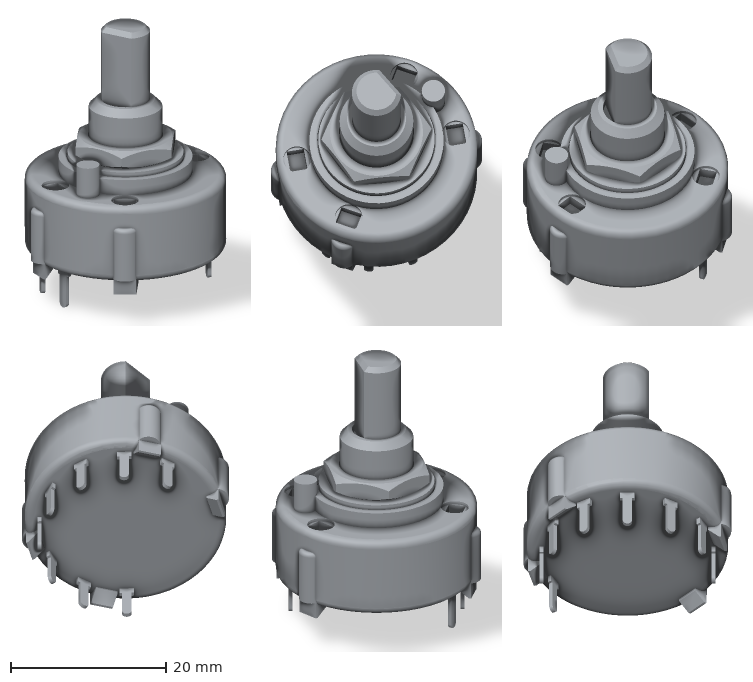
import cadquery as cq
import math


overall_height = 35.9

body_diameter = 26.0
body_height = 10.4
body_edge_radius = 1.0

collar_diameter = 17.3
collar_top = 12.5
washer_diameter = 15.0
washer_recess_diameter = 15.3
washer_recess_depth = 0.5
washer_top = 13.1
bushing_diameter = 9.5
bushing_top = 20.45
bushing_chamfer = 0.95
shaft_diameter = 6.35
shaft_top = 30.5
shaft_chamfer = 0.6
bore_depth = 1.0
shaft_flat_bottom = bushing_top - bore_depth
shaft_flat_offset = 2.3

nut_corner_diameter = 14.3
nut_face_diameter = 12.0
nut_bore_diameter = 9.7
nut_thickness = 2.4
nut_turn = -3.7
nut_chamfer_angle = 30.0

post_diameter = 3.0
post_radius = 9.55
post_top = 14.5

latch_angle = 60.0

recess_diameter = 3.55
recess_orbit = 10.4
recess_depth = 0.4
pocket_radial = 2.25
pocket_tangential = 2.8
pocket_depth = 1.75

rib_radius = 1.65
rib_orbit = 12.15
rib_top = 7.55
rib_bottom = 0.45
rib_edge_radius = 0.55
hook_face_orbit = 12.9
hook_width = 2.9
hook_bottom = -1.7
hook_tip_bottom = -0.4
hook_root_reach = 0.3
hook_tip_reach = 1.7
hook_side_skew = 11.0

pin_orbit = 11.08
pin_first_angle = 45
pin_last_angle = 255
pin_step = 30
pin_thickness = 0.5
pin_width = 1.2
pin_shoulder_width = 1.9
pin_shoulder_bottom = -0.95
pin_bottom = shaft_top - overall_height

overlap = 0.5


def cylinder(diameter, bottom, top):
    return cq.Workplane("XY").workplane(offset=bottom).circle(diameter / 2).extrude(top - bottom)


def polar_frame(orbit, angle, height):
    """Frame at a point of a circle: x points outward, y along the tangent, z up."""
    turn = math.radians(angle)
    origin = (orbit * math.cos(turn), orbit * math.sin(turn), height)
    outward = (math.cos(turn), math.sin(turn), 0)
    return cq.Workplane(cq.Plane(origin=origin, xDir=outward, normal=(0, 0, 1)))


def on_four_corners(shape):
    """The shape with its mirror images about the YZ and XZ planes."""
    pair = shape.union(shape.mirror("YZ"))
    return pair.union(pair.mirror("XZ"))


def make_body():
    return cylinder(body_diameter, 0, body_height).edges().fillet(body_edge_radius)


def make_collar():
    """Collar with a shallow recess in its top, in which the washer lies."""
    collar = cylinder(collar_diameter, body_height - overlap, collar_top)
    recess_bottom = collar_top - washer_recess_depth
    recess = cylinder(washer_recess_diameter, recess_bottom, collar_top)
    washer = cylinder(washer_diameter, recess_bottom, washer_top)
    return collar.cut(recess).union(washer)


def make_bushing():
    bushing = cylinder(bushing_diameter, collar_top - washer_recess_depth, bushing_top)
    bore = cylinder(shaft_diameter, shaft_flat_bottom, bushing_top)
    return bushing.faces(">Z").chamfer(bushing_chamfer).cut(bore)


def make_shaft():
    shaft = cylinder(shaft_diameter, shaft_flat_bottom, shaft_top)
    beyond_flat = (
        cq.Workplane("XY")
        .workplane(offset=shaft_flat_bottom)
        .center(0, -shaft_flat_offset - shaft_diameter / 2)
        .rect(2 * shaft_diameter, shaft_diameter)
        .extrude(shaft_top - shaft_flat_bottom)
    )
    return shaft.cut(beyond_flat).faces(">Z").chamfer(shaft_chamfer)


def make_nut():
    nut_top = washer_top + nut_thickness
    corner_radius = nut_corner_diameter / 2
    face_radius = nut_face_diameter / 2
    chamfer_drop = (corner_radius - face_radius) * math.tan(math.radians(nut_chamfer_angle))
    hexagon = (
        cq.Workplane("XY")
        .workplane(offset=washer_top)
        .polygon(6, nut_corner_diameter)
        .extrude(nut_thickness)
        .rotate((0, 0, 0), (0, 0, 1), nut_turn)
    )
    turned_blank = (
        cq.Workplane("XZ")
        .moveTo(0, washer_top)
        .lineTo(face_radius, washer_top)
        .lineTo(corner_radius, washer_top + chamfer_drop)
        .lineTo(corner_radius, nut_top - chamfer_drop)
        .lineTo(face_radius, nut_top)
        .lineTo(0, nut_top)
        .close()
        .revolve(360, (0, 0, 0), (0, 1, 0))
    )
    return hexagon.intersect(turned_blank).cut(cylinder(nut_bore_diameter, washer_top, nut_top))


def make_post():
    return cylinder(post_diameter, body_height - overlap, post_top).translate((0, -post_radius, 0))


def make_recess():
    """Cutter for a round recess; the pocket under it stays within the circle."""
    top = polar_frame(recess_orbit, latch_angle, body_height)
    recess = top.circle(recess_diameter / 2).extrude(-recess_depth)
    outline = top.circle(recess_diameter / 2).extrude(-pocket_depth)
    pocket = top.rect(pocket_radial, pocket_tangential).extrude(-pocket_depth)
    return recess.union(pocket.intersect(outline))


def make_rib():
    rib = polar_frame(rib_orbit, latch_angle, rib_bottom).circle(rib_radius).extrude(rib_top - rib_bottom)
    return rib.faces(">Z").edges().fillet(rib_edge_radius)


def make_hook():
    """Snap hook with its barb pointing to the axis."""
    frame = polar_frame(hook_face_orbit, latch_angle, hook_bottom)
    half_width = hook_width / 2
    skew_shift = hook_tip_reach * math.tan(math.radians(hook_side_skew))
    plan = [
        (0, -half_width),
        (0, half_width),
        (-hook_tip_reach, half_width - skew_shift),
        (-hook_tip_reach, -half_width - skew_shift),
    ]
    block = frame.polyline(plan).close().extrude(rib_bottom - hook_bottom)
    turn = math.radians(latch_angle)
    radial_plane = cq.Plane(
        origin=(0, 0, 0),
        xDir=(math.cos(turn), math.sin(turn), 0),
        normal=(math.sin(turn), -math.cos(turn), 0),
    )
    lead_in = (
        cq.Workplane(radial_plane)
        .moveTo(hook_face_orbit - hook_root_reach, hook_bottom)
        .lineTo(hook_face_orbit - hook_tip_reach, hook_tip_bottom)
        .lineTo(hook_face_orbit - hook_tip_reach, hook_bottom)
        .close()
        .extrude(hook_width, both=True)
    )
    return block.cut(lead_in)


def make_pin(angle):
    """Flat terminal pin with shoulders and a round end, facing outward."""
    turn = math.radians(angle)
    pin_plane = cq.Plane(
        origin=(pin_orbit * math.cos(turn), pin_orbit * math.sin(turn), 0),
        xDir=(-math.sin(turn), math.cos(turn), 0),
        normal=(math.cos(turn), math.sin(turn), 0),
    )
    half_width = pin_width / 2
    half_shoulder = pin_shoulder_width / 2
    round_start = pin_bottom + half_width
    return (
        cq.Workplane(pin_plane)
        .moveTo(-half_shoulder, overlap)
        .lineTo(-half_shoulder, pin_shoulder_bottom)
        .lineTo(-half_width, pin_shoulder_bottom)
        .lineTo(-half_width, round_start)
        .threePointArc((0, pin_bottom), (half_width, round_start))
        .lineTo(half_width, pin_shoulder_bottom)
        .lineTo(half_shoulder, pin_shoulder_bottom)
        .lineTo(half_shoulder, overlap)
        .close()
        .extrude(pin_thickness / 2, both=True)
    )


result = make_body().union(on_four_corners(make_rib())).union(on_four_corners(make_hook()))
result = result.union(make_collar()).union(make_bushing()).union(make_shaft())
result = result.cut(on_four_corners(make_recess()))
result = result.union(make_nut()).union(make_post())
for pin_angle in range(pin_first_angle, pin_last_angle + 1, pin_step):
    result = result.union(make_pin(pin_angle))